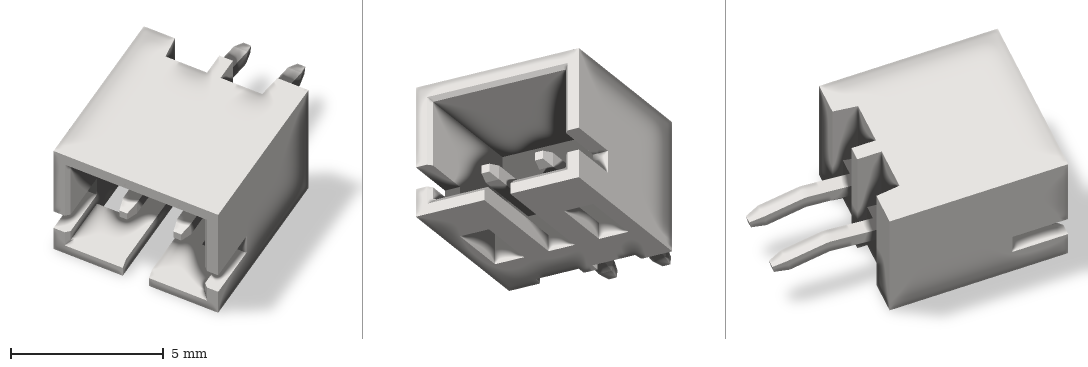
import cadquery as cq
import math

body_width = 6.1
body_length = 6.31
body_height = 4.7
side_wall = 0.56
roof_thickness = 0.59
floor_thickness = 0.58

upper_depth = 4.84
step_top = 2.67
step_bottom = 2.18
lower_depth = upper_depth - (step_top - step_bottom)

rim_bevel = 0.15
floor_bevel_height = 0.2
floor_bevel_depth = 0.23

notch_depth = 1.97
notch_bottom = 1.01
notch_top = 1.8
slot_width = 0.97
window_inner_x = 1.4

rib_width = 0.5
recess_half_width_back = 1.9
recess_half_width_front = 1.79
recess_depth = 0.86
through_recess_depth = 0.35

pin_pitch = 2.0
pin_size = 0.5
pin_tip_size = 0.29
pin_front_y = 1.01
pin_front_taper = 0.47
pin_level_z = 1.7
first_bend_y = body_length - recess_depth
peak_y = 7.715
peak_z = 1.94
peak_round_radius = 0.87
pin_back_y = 9.68
tail_slope = math.radians(11.8)
tail_taper = 0.5

rise_slope = math.atan2(peak_z - pin_level_z, peak_y - first_bend_y)
half_pin = pin_size / 2


def block(x_range, y_range, z_range):
    """Axis-aligned box between the given limits."""
    size = [high - low for low, high in (x_range, y_range, z_range)]
    corner = (x_range[0], y_range[0], z_range[0])
    return cq.Workplane("XY").box(*size, centered=False).translate(corner)


def make_cavity():
    inner_width = body_width - 2 * side_wall
    ceiling = body_height - roof_thickness
    outline = [
        (0, floor_thickness),
        (lower_depth, floor_thickness),
        (lower_depth, step_bottom),
        (upper_depth, step_top),
        (upper_depth, ceiling),
        (0, ceiling),
    ]
    cavity = cq.Workplane("YZ").polyline(outline).close().extrude(inner_width / 2, both=True)

    overshoot = floor_bevel_depth - rim_bevel

    def mouth_section(y, growth, bottom):
        top = ceiling + growth
        return (
            cq.Workplane("XZ", origin=(0, y, (top + bottom) / 2))
            .rect(inner_width + 2 * growth, top - bottom)
            .wires()
            .val()
        )

    mouth = cq.Solid.makeLoft([
        mouth_section(0, rim_bevel, floor_thickness - floor_bevel_height),
        mouth_section(floor_bevel_depth, -overshoot, floor_thickness),
    ], True)
    return cavity.union(cq.Workplane(mouth))


def make_openings():
    half_width = body_width / 2
    inner_half_width = half_width - side_wall
    notches = block((-half_width, half_width), (0, notch_depth), (notch_bottom, notch_top))
    slot = block((-slot_width / 2, slot_width / 2), (0, lower_depth), (0, floor_thickness))
    openings = notches.union(slot)
    for low_x in (-inner_half_width, window_inner_x):
        high_x = low_x + inner_half_width - window_inner_x
        window = block((low_x, high_x), (notch_depth, lower_depth), (0, floor_thickness))
        openings = openings.union(window)
    return openings


def make_back_recesses():
    front_y = body_length - recess_depth
    plan = [
        (-recess_half_width_front, front_y),
        (recess_half_width_front, front_y),
        (recess_half_width_back, body_length),
        (-recess_half_width_back, body_length),
    ]
    recess = cq.Workplane("XY").polyline(plan).close().extrude(body_height)

    ledge_y = body_length - through_recess_depth
    pin_top = pin_level_z + half_pin / math.cos(rise_slope)
    ledge_rise = (ledge_y - first_bend_y) * math.tan(rise_slope)
    ledge_outline = [
        (front_y, 0),
        (ledge_y, 0),
        (ledge_y, pin_top + ledge_rise),
        (front_y, pin_top),
    ]
    ledge = cq.Workplane("YZ").polyline(ledge_outline).close().extrude(body_width / 2, both=True)
    rib = block((-rib_width / 2, rib_width / 2), (front_y, body_length), (0, body_height))
    return recess.cut(ledge).cut(rib)


def make_tip(y, z, angle, length):
    """Tapered pin end starting at (y, z) and pointing at an angle from +Y toward +Z."""
    direction = (0, math.cos(angle), math.sin(angle))
    plane = cq.Plane(origin=(0, y, z), xDir=(1, 0, 0), normal=direction)
    return (
        cq.Workplane(plane)
        .rect(pin_size, pin_size)
        .workplane(offset=length)
        .rect(pin_tip_size, pin_tip_size)
        .loft(combine=True)
    )


def make_pin():
    shank_front_y = pin_front_y + pin_front_taper
    tip_end_y = pin_back_y - pin_tip_size / 2 * math.sin(tail_slope)
    tail_y = tip_end_y - tail_taper * math.cos(tail_slope)
    tail_z = peak_z - (tail_y - peak_y) * math.tan(tail_slope)

    first_shift = half_pin * math.tan(rise_slope / 2)
    peak_shift = half_pin * math.tan((tail_slope - rise_slope) / 2)
    tail_shift_y = half_pin * math.sin(tail_slope)
    tail_shift_z = half_pin * math.cos(tail_slope)
    outline = [
        (shank_front_y, pin_level_z - half_pin),
        (first_bend_y + first_shift, pin_level_z - half_pin),
        (peak_y - peak_shift, peak_z - half_pin),
        (tail_y - tail_shift_y, tail_z - tail_shift_z),
        (tail_y + tail_shift_y, tail_z + tail_shift_z),
        (peak_y + peak_shift, peak_z + half_pin),
        (first_bend_y - first_shift, pin_level_z + half_pin),
        (shank_front_y, pin_level_z + half_pin),
    ]
    shank = cq.Workplane("YZ").polyline(outline).close().extrude(half_pin, both=True)
    peak_edge = cq.selectors.NearestToPointSelector((0, peak_y, peak_z + half_pin))
    shank = shank.edges("|X").edges(peak_edge).fillet(peak_round_radius)

    front_tip = make_tip(shank_front_y, pin_level_z, math.pi, pin_front_taper)
    back_tip = make_tip(tail_y, tail_z, -tail_slope, tail_taper)
    return shank.union(front_tip).union(back_tip)


housing = block(
    (-body_width / 2, body_width / 2),
    (0, body_length),
    (0, body_height),
)
housing = housing.cut(make_cavity()).cut(make_openings()).cut(make_back_recesses())

result = housing
for pin_x in (-pin_pitch / 2, pin_pitch / 2):
    result = result.union(make_pin().translate((pin_x, 0, 0)))